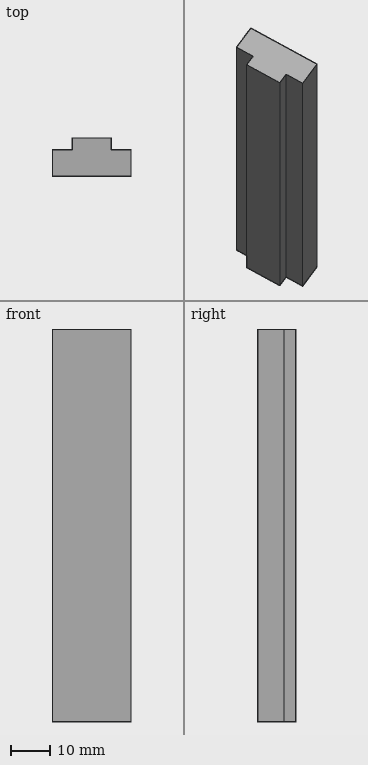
import cadquery as cq

length = 100.0
base_width = 20.0
tongue_width = 10.0
total_depth = 9.8
base_depth = 6.8
tongue_depth = total_depth - base_depth


def make_base():
    """Wide rectangular bar with its flat face on Y = 0."""
    return cq.Workplane("XY").box(base_width, base_depth, length, centered=(True, False, False))


def make_tongue():
    """Narrow rib centred along the +Y face of the base."""
    return (
        cq.Workplane("XY")
        .box(tongue_width, tongue_depth, length, centered=(True, False, False))
        .translate((0, base_depth, 0))
    )


result = make_base().union(make_tongue())